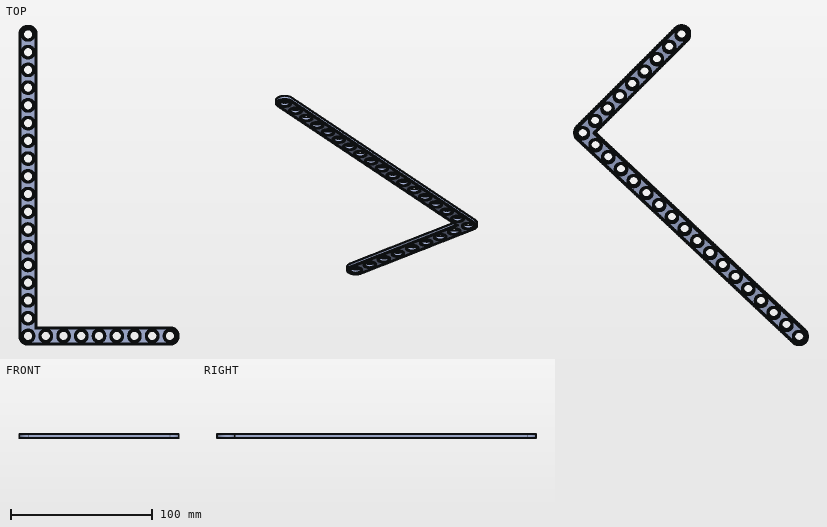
import cadquery as cq

pitch = 12.5
holes_along_x = 9
holes_along_y = 18
thickness = pitch / 4
hole_diameter = 7.0
rim_diameter = 9.2
edge_chamfer = 0.3
panel_recess = 0.2

end_radius = pitch / 2
arm_length_x = (holes_along_x - 1) * pitch
arm_length_y = (holes_along_y - 1) * pitch
rim_width = (rim_diameter - hole_diameter) / 2


def outline(inset, height):
    """Closed L outline at a height; round ends and outer corner are centred on holes."""
    r = end_radius - inset
    return (
        cq.Workplane("XY", origin=(0, 0, height))
        .moveTo(0, -r)
        .lineTo(arm_length_x, -r)
        .threePointArc((arm_length_x + r, 0), (arm_length_x, r))
        .lineTo(r, r)
        .lineTo(r, arm_length_y)
        .threePointArc((0, arm_length_y + r), (-r, arm_length_y))
        .lineTo(-r, 0)
        .radiusArc((0, -r), -r)
        .close()
    )


def hole_centres():
    """One hole per pitch along each arm; the corner hole is shared."""
    along_x = [(i * pitch, 0) for i in range(holes_along_x)]
    along_y = [(0, i * pitch) for i in range(1, holes_along_y)]
    return along_x + along_y


def hole_discs(diameter, bottom, depth):
    """One disc centred on every hole, starting at the given height."""
    base = cq.Workplane("XY", origin=(0, 0, bottom)).pushPoints(hole_centres())
    return base.circle(diameter / 2).extrude(depth)


def make_bar():
    """L-shaped bar with its holes; every top and bottom edge has the same chamfer."""
    bar = outline(0, 0).extrude(thickness)
    drilled = bar.cut(hole_discs(hole_diameter, 0, thickness))
    return drilled.faces("|Z").edges().chamfer(edge_chamfer)


def recess_panel(bar, bottom):
    """Cut a shallow pocket inside the outer rim, leaving a raised ring round each hole."""
    pocket = outline(rim_width, bottom).extrude(panel_recess)
    rings = hole_discs(rim_diameter, bottom, panel_recess)
    return bar.cut(pocket.cut(rings))


bar = make_bar()
bar = recess_panel(bar, thickness - panel_recess)
result = recess_panel(bar, 0)